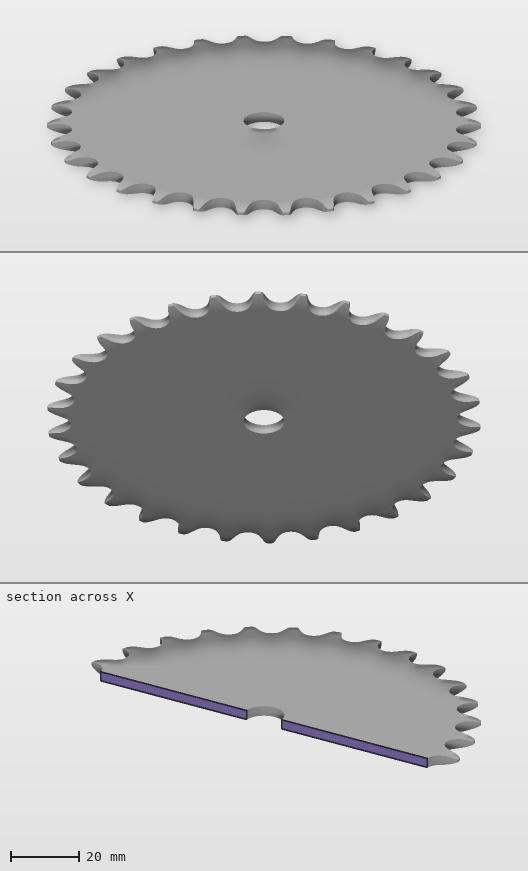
import cadquery as cq
import math

tooth_count = 30
outer_radius = 63.8
thickness = 3.0
bore_diameter = 12.0

pitch_radius = 60.7
seat_radius = 4.0
seat_half_angle = 53.0
working_radius = 10.3
working_sweep = 16.0
flank_length = 1.08
topping_radius = 6.5
topping_sweep = 25.0

relief_start_radius = 58.5
relief_radius = 12.8

half_thickness = thickness / 2
tooth_step = 360 / tooth_count
cut_clearance = 1.3


def arc_travel(start, heading, radius, sweep):
    """Middle point, end point and end heading of an arc that leaves start tangentially.

    Headings are degrees from +X; a positive sweep turns left and a negative one right.
    """

    def travel(turn):
        chord = 2 * radius * math.sin(math.radians(abs(turn) / 2))
        return line_travel(start, heading + turn / 2, chord)

    return travel(sweep / 2), travel(sweep), heading + sweep


def line_travel(start, heading, length):
    """End point of a straight run."""
    angle = math.radians(heading)
    return (start[0] + length * math.cos(angle), start[1] + length * math.sin(angle))


def mirrored(point):
    return (point[0], -point[1])


def tooth_gap():
    """Cutter for one tooth gap, centred on +X and open past the tooth tips."""
    seat_bottom = (pitch_radius - seat_radius, 0)
    _, seat_end, heading = arc_travel(seat_bottom, 90, seat_radius, -seat_half_angle)
    working_middle, working_end, heading = arc_travel(
        seat_end, heading, working_radius, -working_sweep
    )
    flank_end = line_travel(working_end, heading, flank_length)
    topping_middle, topping_end, _ = arc_travel(
        flank_end, heading, topping_radius, topping_sweep
    )
    return (
        cq.Workplane("XY")
        .moveTo(*mirrored(seat_end))
        .threePointArc(seat_bottom, seat_end)
        .threePointArc(working_middle, working_end)
        .lineTo(*flank_end)
        .threePointArc(topping_middle, topping_end)
        .lineTo(*mirrored(topping_end))
        .threePointArc(mirrored(topping_middle), mirrored(flank_end))
        .lineTo(*mirrored(working_end))
        .threePointArc(mirrored(working_middle), mirrored(seat_end))
        .close()
        .extrude(half_thickness + cut_clearance, both=True)
    )


def relieved_disc():
    """Disc whose rim thins along an arc on both faces."""

    def relief_half_thickness(radius):
        run = radius - relief_start_radius
        return half_thickness - relief_radius + math.sqrt(relief_radius**2 - run**2)

    middle_radius = (relief_start_radius + outer_radius) / 2
    middle_z = relief_half_thickness(middle_radius)
    tip_z = relief_half_thickness(outer_radius)
    return (
        cq.Workplane("XZ")
        .moveTo(0, -half_thickness)
        .lineTo(relief_start_radius, -half_thickness)
        .threePointArc((middle_radius, -middle_z), (outer_radius, -tip_z))
        .lineTo(outer_radius, tip_z)
        .threePointArc((middle_radius, middle_z), (relief_start_radius, half_thickness))
        .lineTo(0, half_thickness)
        .close()
        .revolve(360, (0, 0, 0), (0, 1, 0))
    )


def all_tooth_gaps():
    """Gap cutters spaced evenly so that a tooth, not a gap, lies on +X."""
    gap = tooth_gap().val()
    origin = cq.Vector(0, 0, 0)
    z_axis = cq.Vector(0, 0, 1)
    return [gap.rotate(origin, z_axis, (index + 0.5) * tooth_step) for index in range(tooth_count)]


bore = cq.Workplane("XY").circle(bore_diameter / 2).extrude(thickness, both=True)
blank = relieved_disc().cut(bore).val()
result = cq.Workplane("XY").newObject([blank.cut(*all_tooth_gaps())]).solids()